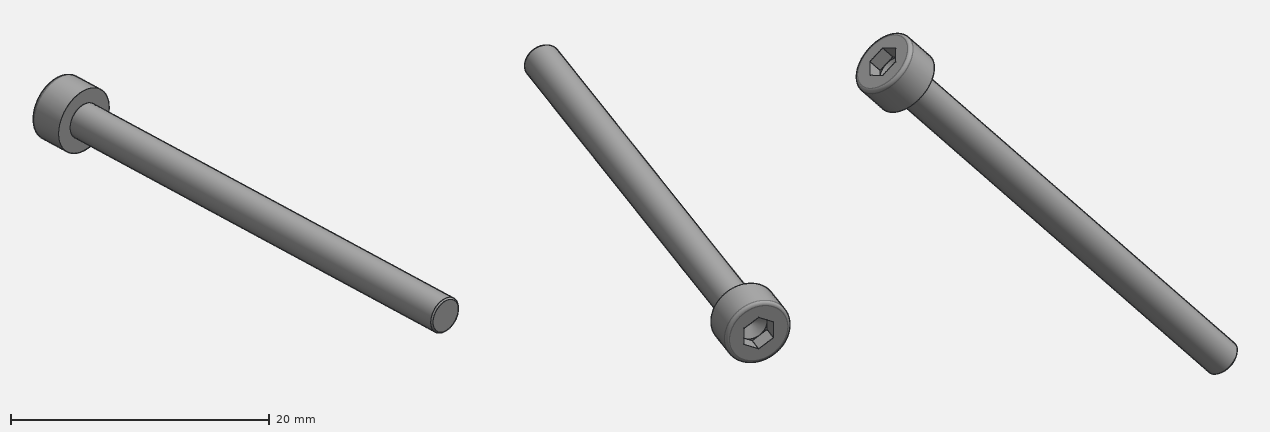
import cadquery as cq
import math

total_length = 43.0
head_diameter = 5.5
head_length = 3.0
shank_diameter = 3.0

head_edge_radius = 0.3
tip_chamfer = 0.15

socket_across_flats = 2.5
socket_depth = 1.3
socket_cone_angle = 120.0


def make_head():
    head = cq.Workplane("YZ").circle(head_diameter / 2).extrude(head_length)
    return head.faces("<X").edges().fillet(head_edge_radius)


def make_shank():
    shank = cq.Workplane("YZ").circle(shank_diameter / 2).extrude(total_length)
    return shank.faces(">X").edges().chamfer(tip_chamfer)


def make_socket():
    across_corners = socket_across_flats / math.cos(math.pi / 6)
    hexagon = (
        cq.Workplane("YZ")
        .transformed(rotate=(0, 0, 90))
        .polygon(6, across_corners)
        .extrude(socket_depth)
    )
    cone_radius = socket_across_flats / 2
    cone_depth = cone_radius / math.tan(math.radians(socket_cone_angle / 2))
    cone = cq.Workplane(
        cq.Solid.makeCone(
            cone_radius, 0, cone_depth, cq.Vector(socket_depth, 0, 0), cq.Vector(1, 0, 0)
        )
    )
    return hexagon.union(cone)


result = make_head().union(make_shank()).cut(make_socket())